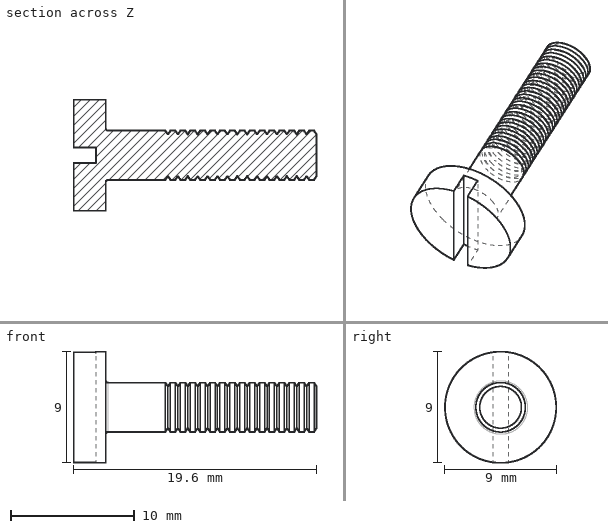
import cadquery as cq

length = 19.6

head_diameter = 9.0
head_height = 2.6

slot_width = 1.23
slot_depth = 1.8

shank_diameter = 4.0
neck_fillet = 0.15

thread_start = 7.4
land_count = 15
groove_depth = 0.31

pitch = (length - thread_start) / (land_count + 1 / 4)
groove_half_width = pitch / 4

head_radius = head_diameter / 2
shank_radius = shank_diameter / 2
root_radius = shank_radius - groove_depth


def make_body():
    """Revolve the half outline of the head, shank and grooves about the X axis."""
    outline = (
        cq.Workplane("XZ")
        .lineTo(0, head_radius)
        .lineTo(head_height, head_radius)
        .lineTo(head_height, shank_radius + neck_fillet)
        .radiusArc((head_height + neck_fillet, shank_radius), -neck_fillet)
        .lineTo(thread_start, shank_radius)
    )
    for index in range(land_count):
        groove_start = thread_start + index * pitch
        outline = (
            outline.lineTo(groove_start + groove_half_width, root_radius)
            .lineTo(groove_start + 2 * groove_half_width, shank_radius)
            .lineTo(groove_start + pitch, shank_radius)
        )
    outline = outline.lineTo(length, root_radius).lineTo(length, 0).close()
    return outline.revolve(360, (0, 0, 0), (1, 0, 0))


def make_slot():
    """Box that cuts straight across the whole head from the slotted face."""
    return cq.Workplane("XY").box(
        slot_depth, slot_width, head_diameter, centered=(False, True, True)
    )


result = make_body().cut(make_slot())